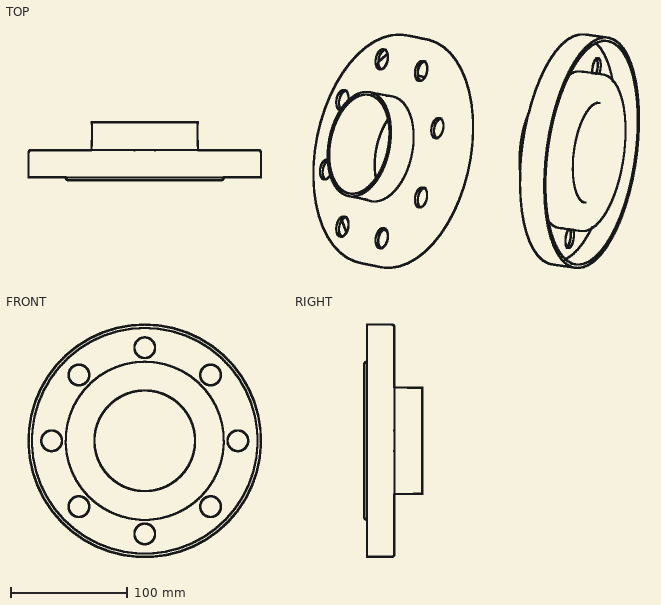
import cadquery as cq

outer_diameter = 200.0
total_length = 50.0
flange_back = 26.0
rim_front = 2.5
wall = 3.0
boss_diameter = 136.0
hub_base_diameter = 92.0
hub_end_diameter = 91.2
bore_diameter = 86.5
edge_radius = 2.5
bolt_circle_diameter = 160.0
bolt_hole_diameter = 17.5
bolt_count = 8

outer_radius = outer_diameter / 2
pocket_radius = outer_radius - wall
web_front = flange_back - wall
boss_radius = boss_diameter / 2
bore_radius = bore_diameter / 2
hub_base_radius = hub_base_diameter / 2
hub_end_radius = hub_end_diameter / 2
round_mid = edge_radius * (1 - 0.5 ** 0.5)


def flange_body():
    """Revolve the half section: bore, boss, recessed web, rim and tapered hub."""
    section = (
        cq.Workplane("ZY")
        .moveTo(bore_radius, edge_radius)
        .threePointArc((bore_radius + round_mid, round_mid), (bore_radius + edge_radius, 0))
        .lineTo(boss_radius - edge_radius, 0)
        .threePointArc((boss_radius - round_mid, round_mid), (boss_radius, edge_radius))
        .lineTo(boss_radius, web_front)
        .lineTo(pocket_radius, web_front)
        .lineTo(pocket_radius, rim_front)
        .lineTo(outer_radius, rim_front)
        .lineTo(outer_radius, flange_back - edge_radius)
        .threePointArc(
            (outer_radius - round_mid, flange_back - round_mid),
            (outer_radius - edge_radius, flange_back),
        )
        .lineTo(hub_base_radius, flange_back)
        .lineTo(hub_end_radius, total_length)
        .lineTo(bore_radius, total_length)
        .close()
    )
    return section.revolve(360, (0, 0, 0), (0, 1, 0))


def bolt_holes():
    """Ring of cylinders that pass through the web."""
    return (
        cq.Workplane("XZ")
        .polarArray(bolt_circle_diameter / 2, 0, 360, bolt_count)
        .circle(bolt_hole_diameter / 2)
        .extrude(-total_length)
    )


result = flange_body().cut(bolt_holes())